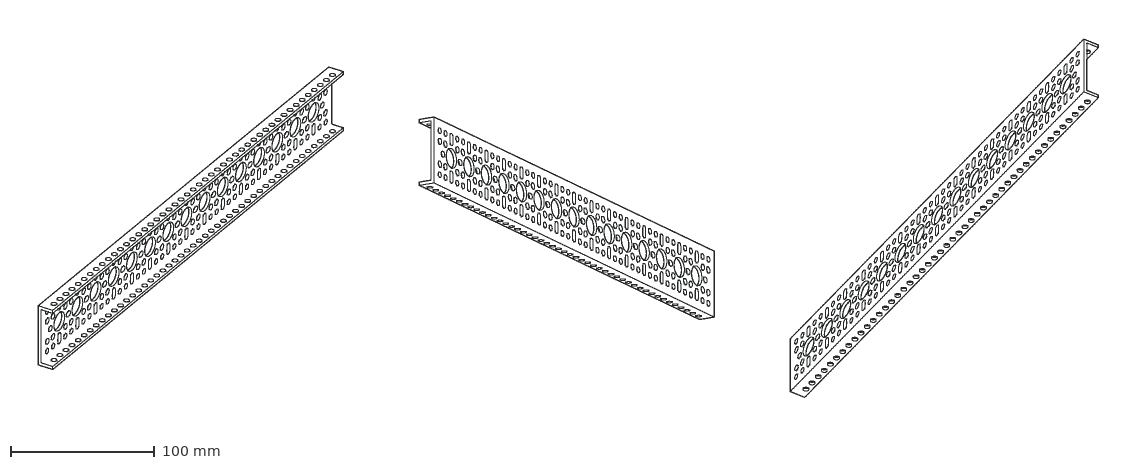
import cadquery as cq
import math

length = 384.0
bay_count = 16
bay = length / bay_count
grid = bay / 3
height = 2 * bay
depth = bay / 2

wall = 2.5
inner_bend_radius = 0.5

bore_count = bay_count - 1
bore_diameter = 1.75 * grid
hole_diameter = grid / 2
flange_hole_count = 3 * bay_count - 1

inner_bolt_radius = grid * math.sqrt(2)
outer_bolt_radius = bay / 2

outer_row_z = 2 * grid

web_outer_x = -depth / 2
flange_hole_x = web_outer_x + grid


def centred_row(count, pitch):
    """Evenly spaced positions, symmetric about zero."""
    first = -(count - 1) / 2 * pitch
    return [first + i * pitch for i in range(count)]


bore_ys = centred_row(bore_count, bay)


def channel_body():
    """C-shaped channel along Y: web on the -X side, flanges pointing to +X."""
    body = cq.Workplane("XY").box(depth, length, height)
    cavity = (
        cq.Workplane("XY")
        .box(depth, length, height - 2 * wall)
        .edges("|Y and <X")
        .fillet(inner_bend_radius)
        .translate((wall, 0, 0))
    )
    return body.cut(cavity)


def web_sketch(points):
    """Points on the outer web face, given as (y, z)."""
    return cq.Workplane("YZ", origin=(web_outer_x, 0, 0)).pushPoints(points)


def web_slots(points, centre_distance, angle):
    """Slots through the web; centre_distance separates the two end-arc centres."""
    slot_length = centre_distance + hole_diameter
    return web_sketch(points).slot2D(slot_length, hole_diameter, angle).extrude(wall)


def bore_cutter():
    """Large bores on the web centre line."""
    bores = [(y, 0) for y in bore_ys]
    return web_sketch(bores).circle(bore_diameter / 2).extrude(wall)


pattern_centres = [-length / 2] + bore_ys + [length / 2]


def pattern_points(offset_y, offset_z):
    """(y, z) points at +-offset_y, +-offset_z from each pattern centre, within the channel."""
    points = [
        (centre + side_y * offset_y, side_z * offset_z)
        for centre in pattern_centres
        for side_y in (-1, 1)
        for side_z in (-1, 1)
    ]
    return [(y, z) for y, z in points if abs(y) < length / 2]


def outer_row_cutter():
    """Round holes in the rows nearest the flanges."""
    points = pattern_points(grid, outer_row_z)
    return web_sketch(points).circle(hole_diameter / 2).extrude(wall)


def diagonal_slot_cutters():
    """Short radial slots at 45 degrees, from the inner to the outer bolt circle."""
    offset = (inner_bolt_radius + outer_bolt_radius) / 2 * math.sqrt(0.5)
    points = pattern_points(offset, offset)
    rising = []
    falling = []
    for y, z in points:
        nearest = min(pattern_centres, key=lambda centre: abs(centre - y))
        if (y - nearest) * z > 0:
            rising.append((y, z))
        else:
            falling.append((y, z))
    run = outer_bolt_radius - inner_bolt_radius
    return [web_slots(rising, run, 45), web_slots(falling, run, -45)]


def upright_slot_cutter():
    """Slots above and below each bore, from the inner bolt circle to the outer rows."""
    centre_z = (inner_bolt_radius + outer_row_z) / 2
    points = [(y, side * centre_z) for y in bore_ys for side in (-1, 1)]
    return web_slots(points, outer_row_z - inner_bolt_radius, 90)


def lengthwise_slot_cutters():
    """Slots on the centre line: one between each pair of bores and a shorter one at each end."""
    between = [(y + bay / 2, 0) for y in bore_ys[:-1]]
    end_y = bore_ys[-1] + (inner_bolt_radius + outer_bolt_radius) / 2
    ends = [(-end_y, 0), (end_y, 0)]
    return [
        web_slots(between, bay - 2 * inner_bolt_radius, 0),
        web_slots(ends, outer_bolt_radius - inner_bolt_radius, 0),
    ]


def flange_hole_cutter():
    """One row of holes at the grid pitch, passing through both flanges."""
    points = [(flange_hole_x, y) for y in centred_row(flange_hole_count, grid)]
    return (
        cq.Workplane("XY", origin=(0, 0, -height / 2))
        .pushPoints(points)
        .circle(hole_diameter / 2)
        .extrude(height)
    )


cutters = [bore_cutter(), outer_row_cutter(), upright_slot_cutter(), flange_hole_cutter()]
cutters += diagonal_slot_cutters()
cutters += lengthwise_slot_cutters()

result = channel_body()
for cutter in cutters:
    result = result.cut(cutter)